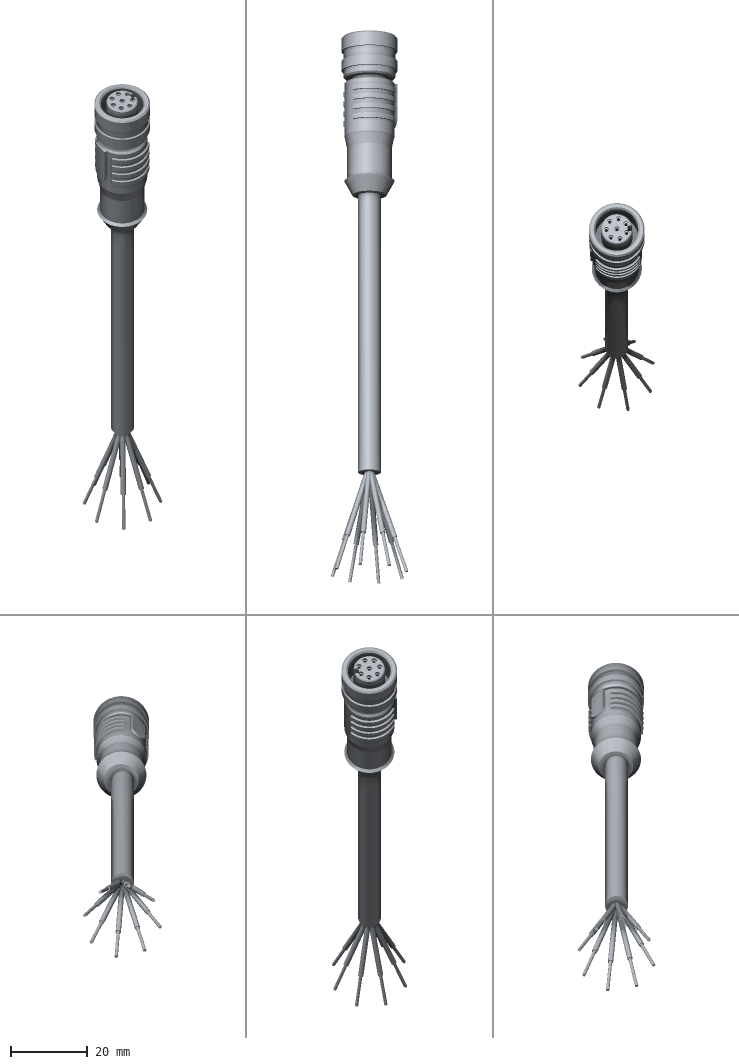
import cadquery as cq
import math

TOTAL_HEIGHT = 145.4
CABLE_BOTTOM = 27.5
INSULATION_BOTTOM = 9.6
CABLE_DIAMETER = 6.0

PLUG_X = -0.3
PLUG_Y = 0.1
PLUG_TURN = -7.0

BODY_TOP = 132.5
BODY_RADIUS = 6.5
BODY_CHAMFER = 0.3
SHOULDER_Z = 117.5
SHOULDER_BEVEL = 0.5
SHOULDER_RADIUS = 6.4
WAIST_TOP = 114.7
WAIST_RADIUS = 5.8
WAIST_BOTTOM = 106.5
RIM_Z = 106.0
BODY_BOTTOM = 102.2
NECK_RADIUS = 4.5

NUT_TOP = 144.8
NUT_BOTTOM = 133.6
NUT_RADIUS = 7.3
NUT_GROOVE_RADIUS = 6.76
NUT_CHAMFER = 0.5
NUT_GROOVE_TOP = 140.9
NUT_GROOVE_BOTTOM = 138.2
NUT_BAND_BOTTOM = 135.6
NUT_BORE_RADIUS = 5.6
NUT_COUNTERSINK = 0.5
SOCKET_FLOOR = 136.6

INSERT_RADIUS = 4.0
INSERT_CHAMFER = 0.3
CONTACT_DIAMETER = 1.4
CONTACT_CIRCLE_RADIUS = 2.8
RING_CONTACTS = 7
CONTACT_RECESS = 0.7
SLEEVE_BORE_DIAMETER = 0.8
SLEEVE_DEPTH = 5.8
KEYWAY_WIDTH = 1.5
KEYWAY_INNER_RADIUS = 2.8

RIB_RADIUS = 7.1
RIB_COUNT = 4
RIB_TOP = 130.5
RIB_HEIGHT = 1.3
RIB_PITCH = 2.6
RIB_HALF_ANGLE = 56.0
PAD_WIDTH = 4.2
PAD_BOTTOM = 121.0
PAD_FACE = 7.0

WIRE_COUNT = 8
WIRE_TURN = 6.5
INSULATION_DIAMETER = 1.4
CONDUCTOR_DIAMETER = 0.86
WIRE_START_RADIUS = 0.6
WIRE_LEAN = 19.0

OVERLAP = 0.7


def cylinder(radius, bottom, top):
    return cq.Workplane("XY").workplane(offset=bottom).circle(radius).extrude(top - bottom)


def revolved(points):
    """Turn a closed (radius, z) outline about the Z axis."""
    return cq.Workplane("XZ").polyline(points).close().revolve(360, (0, 0), (0, 1))


def make_grip_body():
    return revolved([
        (0, BODY_TOP),
        (BODY_RADIUS - BODY_CHAMFER, BODY_TOP),
        (BODY_RADIUS, BODY_TOP - BODY_CHAMFER),
        (BODY_RADIUS, SHOULDER_Z + SHOULDER_BEVEL),
        (SHOULDER_RADIUS, SHOULDER_Z),
        (WAIST_RADIUS, WAIST_TOP),
        (WAIST_RADIUS, WAIST_BOTTOM),
        (BODY_RADIUS, RIM_Z),
        (NECK_RADIUS, BODY_BOTTOM),
        (0, BODY_BOTTOM),
    ])


def make_nut():
    """Coupling nut with two outer grooves and a blind countersunk bore."""
    return revolved([
        (0, NUT_BOTTOM),
        (NUT_GROOVE_RADIUS - NUT_CHAMFER, NUT_BOTTOM),
        (NUT_GROOVE_RADIUS, NUT_BOTTOM + NUT_CHAMFER),
        (NUT_GROOVE_RADIUS, NUT_BAND_BOTTOM),
        (NUT_RADIUS, NUT_BAND_BOTTOM),
        (NUT_RADIUS, NUT_GROOVE_BOTTOM),
        (NUT_GROOVE_RADIUS, NUT_GROOVE_BOTTOM),
        (NUT_GROOVE_RADIUS, NUT_GROOVE_TOP),
        (NUT_RADIUS, NUT_GROOVE_TOP),
        (NUT_RADIUS, NUT_TOP - NUT_CHAMFER),
        (NUT_RADIUS - NUT_CHAMFER, NUT_TOP),
        (NUT_BORE_RADIUS + NUT_COUNTERSINK, NUT_TOP),
        (NUT_BORE_RADIUS, NUT_TOP - NUT_COUNTERSINK),
        (NUT_BORE_RADIUS, SOCKET_FLOOR),
        (0, SOCKET_FLOOR),
    ])


def make_insert():
    """Contact carrier with counterbored contact holes and a keyway facing +Y."""
    insert = cylinder(INSERT_RADIUS, SOCKET_FLOOR, TOTAL_HEIGHT)
    insert = insert.faces(">Z").edges().chamfer(INSERT_CHAMFER)

    step = 360.0 / RING_CONTACTS
    hole_angles = [math.radians(90 + step * (i + 0.5)) for i in range(RING_CONTACTS)]
    hole_centres = [(0, 0)] + [
        (CONTACT_CIRCLE_RADIUS * math.cos(a), CONTACT_CIRCLE_RADIUS * math.sin(a))
        for a in hole_angles
    ]
    insert = (
        insert.faces(">Z").workplane(origin=(0, 0, TOTAL_HEIGHT))
        .pushPoints(hole_centres)
        .cboreHole(SLEEVE_BORE_DIAMETER, CONTACT_DIAMETER, CONTACT_RECESS, SLEEVE_DEPTH)
    )
    keyway = (
        cq.Workplane("XY")
        .box(KEYWAY_WIDTH, INSERT_RADIUS, TOTAL_HEIGHT - SOCKET_FLOOR, centered=(True, False, False))
        .translate((0, KEYWAY_INNER_RADIUS, SOCKET_FLOOR))
    )
    return insert.cut(keyway)


def make_ribs():
    """Stacked arc ribs on the +X and -X flanks."""
    half_angle = math.radians(RIB_HALF_ANGLE)
    reach = 2 * RIB_RADIUS
    x = reach * math.cos(half_angle)
    y = reach * math.sin(half_angle)
    flanks = (
        cq.Workplane("XY").workplane(offset=SHOULDER_Z)
        .polyline([(0, 0), (x, y), (x, -y)]).close()
        .polyline([(0, 0), (-x, y), (-x, -y)]).close()
        .extrude(BODY_TOP - SHOULDER_Z)
    )
    rings = cq.Workplane("XY")
    for i in range(RIB_COUNT):
        top = RIB_TOP - i * RIB_PITCH
        rings = rings.union(cylinder(RIB_RADIUS, top - RIB_HEIGHT, top))
    return rings.intersect(flanks)


def make_pad():
    """Flat-faced pad on the -Y side with a rounded lower end."""
    half_width = PAD_WIDTH / 2
    arc_start = PAD_BOTTOM + half_width
    pad_top = BODY_TOP - BODY_CHAMFER
    return (
        cq.Workplane("XZ")
        .moveTo(-half_width, pad_top)
        .lineTo(-half_width, arc_start)
        .threePointArc((0, PAD_BOTTOM), (half_width, arc_start))
        .lineTo(half_width, pad_top)
        .close()
        .extrude(PAD_FACE)
    )


def make_plug():
    plug = make_grip_body().union(make_ribs()).union(make_pad())
    plug = plug.union(cylinder(NECK_RADIUS, BODY_TOP - OVERLAP, NUT_BOTTOM + OVERLAP))
    plug = plug.union(make_nut()).union(make_insert())
    return plug.rotate((0, 0, 0), (0, 0, 1), PLUG_TURN).translate((PLUG_X, PLUG_Y, 0))


def make_wire():
    """One wire leaning towards +X: insulation, then a thinner bare conductor."""
    conductor_radius = CONDUCTOR_DIAMETER / 2
    lean = math.radians(WIRE_LEAN)
    tip_z = conductor_radius * math.sin(lean)
    direction = cq.Vector(math.sin(lean), 0, -math.cos(lean))
    start = cq.Vector(WIRE_START_RADIUS, 0, CABLE_BOTTOM) - direction * OVERLAP

    def rod(diameter, end_z):
        length = (start.z - end_z) / math.cos(lean)
        return cq.Workplane(cq.Solid.makeCylinder(diameter / 2, length, start, direction))

    insulation = rod(INSULATION_DIAMETER, INSULATION_BOTTOM)
    conductor = rod(CONDUCTOR_DIAMETER, tip_z)
    return insulation.union(conductor)


def make_cable():
    cable = cylinder(CABLE_DIAMETER / 2, CABLE_BOTTOM, BODY_BOTTOM + OVERLAP)
    wire = make_wire()
    for i in range(WIRE_COUNT):
        cable = cable.union(wire.rotate((0, 0, 0), (0, 0, 1), 360.0 / WIRE_COUNT * i + WIRE_TURN))
    return cable


result = make_plug().union(make_cable())